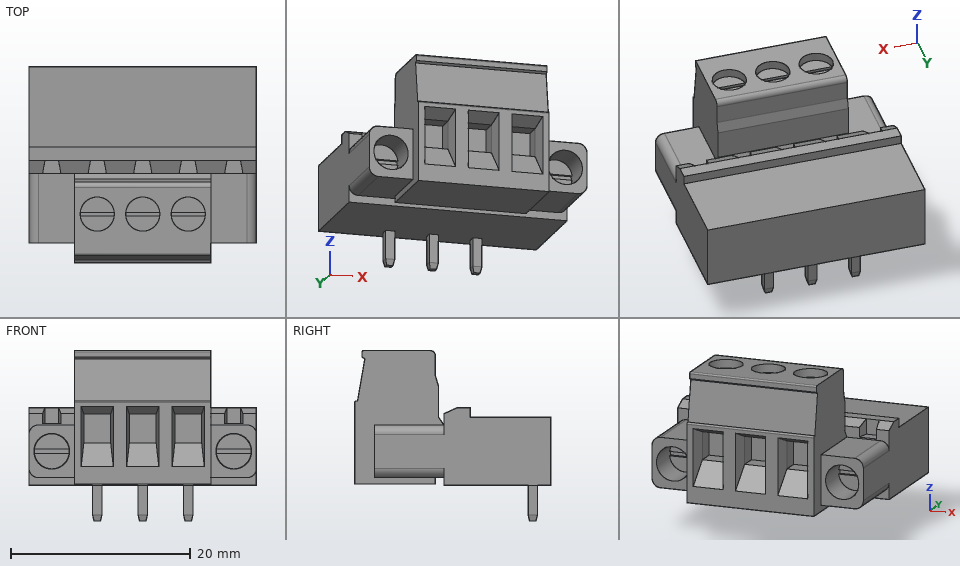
import cadquery as cq

POLES = 3
PITCH = 5.08
WIDTH = PITCH * (POLES + 2)
POLE_CENTRES = [PITCH * (i - (POLES - 1) / 2) for i in range(POLES)]
EAR_CENTRES = [-WIDTH / 2 + PITCH / 2, WIDTH / 2 - PITCH / 2]

HEADER_DEPTH = 11.95
HEADER_HEIGHT = 7.62
LIP_DEPTH = 2.97
LIP_TOP = 8.65
BEVEL_DEPTH = 1.45
BEVEL_DROP = 0.65

NOTCH_FRONT_WIDTH = 2.05
NOTCH_BACK_WIDTH = 1.52
NOTCH_FLOOR = 6.88

PIN_SIDE = 1.07
PIN_TIP_SIDE = 0.74
PIN_Y = 9.93
PIN_LENGTH = 4.0
PIN_TIP_LENGTH = 0.69

PLUG_FRONT = -9.95
PLUG_WIDTH = PITCH * POLES
PLUG_BOTTOM = 0.13
PLUG_TOP = 15.05
PLUG_BACK = -0.95
WAIST_BACK = -0.58
WAIST_BOTTOM = 7.62
WAIST_TOP = 11.05
SHOULDER_TOP = 12.25
BACK_EDGE_RADIUS = 0.6
LEDGE_HEIGHT = 9.42
LEDGE_DEPTH = 0.3
LEDGE_RADIUS = 0.18
RIM_FRONT = -9.15
RIM_BOTTOM = 14.33
RIM_UNDERCUT = 0.3
RIM_UNDERCUT_DROP = 0.2
RIM_RADIUS = 0.18

EAR_LENGTH = 7.77
EAR_BOTTOM = 0.86
EAR_TOP = 6.73
EAR_RADIUS = 1.05

BORE_DIAMETER = 4.0
BORE_DEPTH = 6.35
FLANGE_SCREW_DIAMETER = 3.9
FLANGE_SCREW_LENGTH = 2.55
FLANGE_SLOT_WIDTH = 0.5
SLOT_DEPTH = 0.38

CLAMP_Y = -4.52
CLAMP_DIAMETER = 3.8
CLAMP_RECESS = 1.0
CLAMP_SLOT_WIDTH = 0.38

FUNNEL_WIDTH = 3.58
FUNNEL_BOTTOM = 2.1
FUNNEL_TOP = 8.81
FUNNEL_DEPTH = 2.03
CHANNEL_WIDTH = 3.0
CHANNEL_BOTTOM = 4.7
CHANNEL_TOP = 7.95
CHANNEL_DEPTH = 2.03


def extrude_across(points, width):
    """Extrude a closed (Y, Z) outline symmetrically about X = 0."""
    return cq.Workplane("YZ").polyline(points).close().extrude(width / 2, both=True)


def box_between(x_size, y_range, z_range):
    """Box centred on X = 0 that spans the given Y and Z ranges."""
    return (
        cq.Workplane("XY")
        .box(x_size, y_range[1] - y_range[0], z_range[1] - z_range[0], centered=(True, False, False))
        .translate((0, y_range[0], z_range[0]))
    )


def make_header():
    body = extrude_across(
        [
            (0, 0),
            (HEADER_DEPTH, 0),
            (HEADER_DEPTH, HEADER_HEIGHT),
            (LIP_DEPTH, HEADER_HEIGHT),
            (LIP_DEPTH, LIP_TOP),
            (BEVEL_DEPTH, LIP_TOP),
            (0, LIP_TOP - BEVEL_DROP),
        ],
        WIDTH,
    )
    notch = (
        cq.Workplane("XY", origin=(0, 0, NOTCH_FLOOR))
        .polyline(
            [
                (-NOTCH_FRONT_WIDTH / 2, 0),
                (NOTCH_FRONT_WIDTH / 2, 0),
                (NOTCH_BACK_WIDTH / 2, BEVEL_DEPTH),
                (-NOTCH_BACK_WIDTH / 2, BEVEL_DEPTH),
            ]
        )
        .close()
        .extrude(LIP_TOP - NOTCH_FLOOR)
    )
    for x in POLE_CENTRES + EAR_CENTRES:
        body = body.cut(notch.translate((x, 0, 0)))
    return body


def make_pin():
    shank_length = PIN_LENGTH - PIN_TIP_LENGTH
    shank = cq.Workplane("XY").rect(PIN_SIDE, PIN_SIDE).extrude(-shank_length)
    tip = (
        cq.Workplane("XY", origin=(0, 0, -shank_length))
        .rect(PIN_SIDE, PIN_SIDE)
        .workplane(offset=-PIN_TIP_LENGTH)
        .rect(PIN_TIP_SIDE, PIN_TIP_SIDE)
        .loft(ruled=True)
    )
    return shank.union(tip)


def make_plug_body():
    undercut_y = RIM_FRONT + RIM_UNDERCUT
    ledge_y = PLUG_FRONT + LEDGE_DEPTH
    body = extrude_across(
        [
            (0, EAR_BOTTOM),
            (0, EAR_TOP),
            (WAIST_BACK, WAIST_BOTTOM),
            (WAIST_BACK, WAIST_TOP),
            (PLUG_BACK, SHOULDER_TOP),
            (PLUG_BACK, PLUG_TOP),
            (RIM_FRONT, PLUG_TOP),
            (RIM_FRONT, RIM_BOTTOM),
            (undercut_y, RIM_BOTTOM - RIM_UNDERCUT_DROP),
            (ledge_y, LEDGE_HEIGHT),
            (PLUG_FRONT, LEDGE_HEIGHT),
            (PLUG_FRONT, PLUG_BOTTOM),
            (PLUG_BACK, PLUG_BOTTOM),
            (PLUG_BACK, EAR_BOTTOM),
        ],
        PLUG_WIDTH,
    )
    body = body.faces(">Z").edges(">Y").fillet(BACK_EDGE_RADIUS)
    body = body.faces(">Z").edges("<Y").fillet(RIM_RADIUS)
    return body.faces("<Y").edges(">Z").fillet(LEDGE_RADIUS)


def make_wire_entry():
    def section(y, width, bottom, top):
        return cq.Workplane("XZ", origin=(0, y, (bottom + top) / 2)).rect(width, top - bottom)

    throat_y = PLUG_FRONT + FUNNEL_DEPTH
    throat_height = CHANNEL_TOP - CHANNEL_BOTTOM
    throat_shift = (CHANNEL_BOTTOM + CHANNEL_TOP - FUNNEL_BOTTOM - FUNNEL_TOP) / 2
    funnel = (
        section(PLUG_FRONT, FUNNEL_WIDTH, FUNNEL_BOTTOM, FUNNEL_TOP)
        .workplane(offset=-FUNNEL_DEPTH)
        .center(0, throat_shift)
        .rect(CHANNEL_WIDTH, throat_height)
        .loft(ruled=True)
    )
    channel = section(throat_y, CHANNEL_WIDTH, CHANNEL_BOTTOM, CHANNEL_TOP).extrude(-CHANNEL_DEPTH)
    return funnel.union(channel)


def make_clamp_recess():
    floor = PLUG_TOP - CLAMP_RECESS
    recess = cq.Workplane("XY", origin=(0, 0, floor)).circle(CLAMP_DIAMETER / 2).extrude(CLAMP_RECESS)
    slot = (
        cq.Workplane("XY", origin=(0, 0, floor - SLOT_DEPTH))
        .rect(CLAMP_DIAMETER, CLAMP_SLOT_WIDTH)
        .extrude(SLOT_DEPTH)
    )
    round_limit = cq.Workplane("XY", origin=(0, 0, floor - SLOT_DEPTH)).circle(CLAMP_DIAMETER / 2)
    return recess.union(slot.intersect(round_limit.extrude(SLOT_DEPTH)))


def make_ears():
    span = (-EAR_LENGTH, 0)
    bar = box_between(WIDTH, span, (EAR_BOTTOM, EAR_TOP)).edges("|Y").fillet(EAR_RADIUS)
    centre_z = (EAR_BOTTOM + EAR_TOP) / 2
    floor_y = -EAR_LENGTH + BORE_DEPTH
    face_y = floor_y - FLANGE_SCREW_LENGTH
    slot = box_between(
        FLANGE_SCREW_DIAMETER,
        (face_y, face_y + SLOT_DEPTH),
        (centre_z - FLANGE_SLOT_WIDTH / 2, centre_z + FLANGE_SLOT_WIDTH / 2),
    )
    axis_plane = cq.Workplane("XZ", origin=(0, floor_y, centre_z))
    bore = axis_plane.circle(BORE_DIAMETER / 2).extrude(BORE_DEPTH)
    screw = axis_plane.circle(FLANGE_SCREW_DIAMETER / 2).extrude(FLANGE_SCREW_LENGTH).cut(slot)
    for x in EAR_CENTRES:
        bar = bar.cut(bore.translate((x, 0, 0))).union(screw.translate((x, 0, 0)))
    return bar


result = make_header().union(make_ears()).union(make_plug_body())
for pole_x in POLE_CENTRES:
    result = result.union(make_pin().translate((pole_x, PIN_Y, 0)))
    result = result.cut(make_wire_entry().translate((pole_x, 0, 0)))
    result = result.cut(make_clamp_recess().translate((pole_x, CLAMP_Y, 0)))